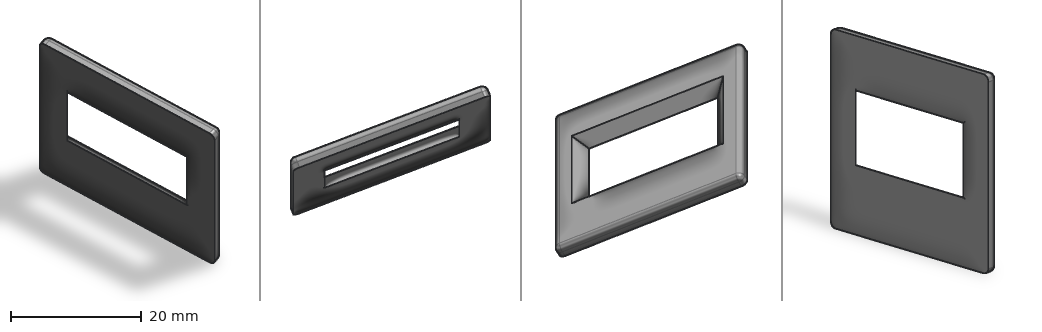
import cadquery as cq

plate_side = 32.4
plate_thickness = 2.0
edge_radius = plate_thickness / 2

window_width = 22.1
window_height = 12.12
window_raise = 1.2
window_flare = plate_thickness


def make_plate():
    """Plate with rounded corners and a rounded rim on its +Y face."""
    plate = cq.Workplane("XY").box(plate_side, plate_thickness, plate_side)
    plate = plate.edges("|Y").fillet(edge_radius)
    return plate.faces(">Y").edges().fillet(edge_radius)


def make_window():
    """Flared block that cuts the window through the full thickness."""
    return (
        cq.Workplane("XZ", origin=(0, -plate_thickness / 2, window_raise))
        .rect(window_width, window_height)
        .workplane(offset=-plate_thickness)
        .rect(window_width + 2 * window_flare, window_height + 2 * window_flare)
        .loft(ruled=True)
    )


result = make_plate().cut(make_window())